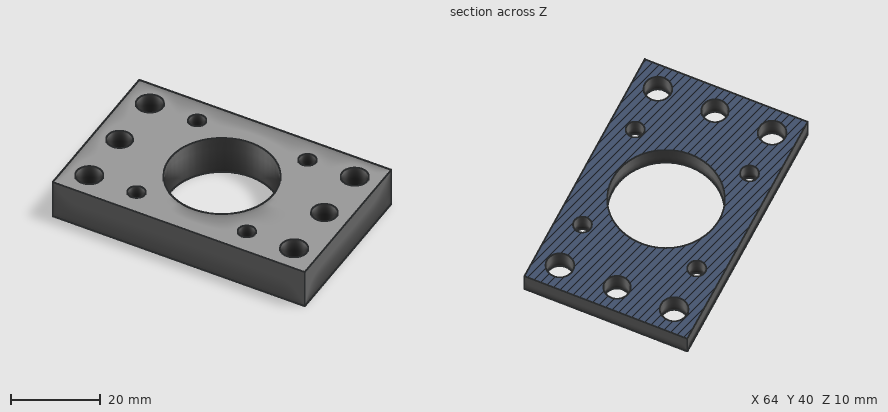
import cadquery as cq

plate_length = 64.0
plate_width = 40.0
plate_thickness = 10.0

bore_diameter = 26.1

small_hole_diameter = 4.13
small_hole_spacing = 28.0

end_row_spacing = 52.0
corner_hole_diameter = 6.3
corner_hole_spacing = 28.0
middle_hole_diameter = 6.0


def hole_grid(spacing_x, spacing_y):
    """Four hole centres, symmetric about the X and Y axes."""
    return [(sx * spacing_x / 2, sy * spacing_y / 2) for sx in (-1, 1) for sy in (-1, 1)]


def drill_through(body, centres, diameter):
    """Cut round holes through the full thickness of the plate."""
    return body.faces(">Z").workplane(origin=(0, 0, 0)).pushPoints(centres).hole(diameter)


plate = cq.Workplane("XY").box(plate_length, plate_width, plate_thickness, centered=(True, True, False))

plate = drill_through(plate, [(0, 0)], bore_diameter)
plate = drill_through(plate, hole_grid(small_hole_spacing, small_hole_spacing), small_hole_diameter)
plate = drill_through(plate, hole_grid(end_row_spacing, corner_hole_spacing), corner_hole_diameter)

middle_hole_centres = [(side * end_row_spacing / 2, 0) for side in (-1, 1)]
plate = drill_through(plate, middle_hole_centres, middle_hole_diameter)

result = plate